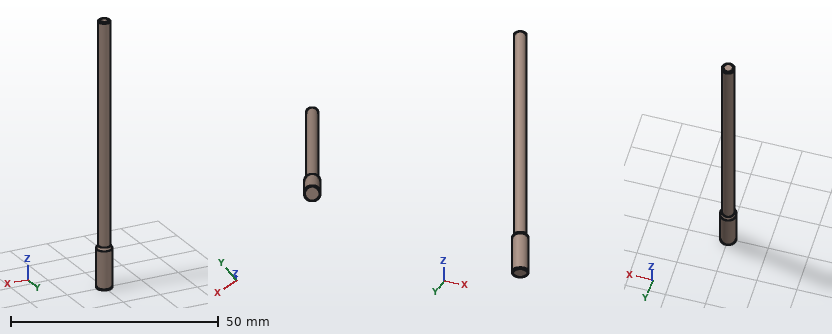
import cadquery as cq

TOTAL_LENGTH = 70.0
ROD_DIAMETER = 3.0
HEAD_DIAMETER = 4.0

HEAD_LENGTH = 11.05
TAPER_HEIGHT = 0.8
HEAD_CHAMFER_WIDTH = 0.2
HEAD_CHAMFER_HEIGHT = 0.35

ROD_LENGTH = TOTAL_LENGTH - HEAD_LENGTH
ROD_CHAMFER = 0.35


def make_head():
    """Cylinder chamfered at the bottom, with a cone down to the rod diameter at the top."""
    head_radius = HEAD_DIAMETER / 2
    half_profile = [
        (0, 0),
        (head_radius - HEAD_CHAMFER_WIDTH, 0),
        (head_radius, HEAD_CHAMFER_HEIGHT),
        (head_radius, HEAD_LENGTH - TAPER_HEIGHT),
        (ROD_DIAMETER / 2, HEAD_LENGTH),
        (0, HEAD_LENGTH),
    ]
    return cq.Workplane("XZ").polyline(half_profile).close().revolve(360, (0, 0), (0, 1))


def make_rod():
    """Long plain cylinder with a chamfered top end."""
    rod = cq.Workplane("XY").workplane(offset=HEAD_LENGTH).circle(ROD_DIAMETER / 2).extrude(ROD_LENGTH)
    return rod.faces(">Z").chamfer(ROD_CHAMFER)


head = make_head()
rod = make_rod()

result = cq.Compound.makeCompound([head.val(), rod.val()])